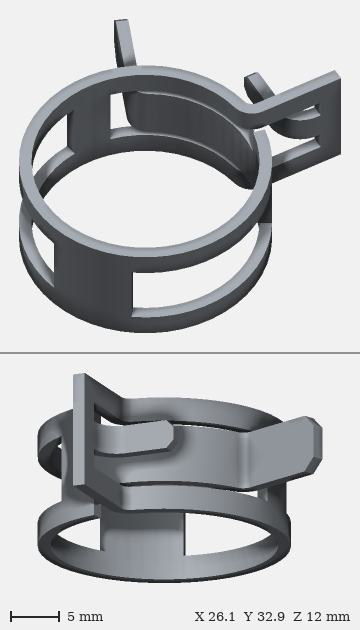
import cadquery as cq
import math

thickness = 1.3
outer_radius = 13.05
inner_radius = outer_radius - thickness
band_width = 12.0
mid_height = band_width / 2

window_height = 7.0
bridge_half_angle = 20.0
bridge_low_angle = 25.4
bridge_high_angle = 45.8
front_angle = -90.0

tongue_width = 6.0

ear_angle = 55.6
ear_end_radius = 23.1
bend_radius = 1.0
ear_bridge_length = 2.4
ear_tip_chamfer = 1.3

tab_width = 3.0
tab_bend_radius = 2.3
tab_straight_length = 5.4
tab_root_radius = ear_end_radius - ear_bridge_length
tab_bend_start_radius = 20.25
tab_tip_chamfer = 0.8

bend_centre_radius = outer_radius + bend_radius
bend_offset = thickness + bend_radius
bend_centre_angle = ear_angle + math.degrees(math.asin(bend_offset / bend_centre_radius))


def polar(radius, angle):
    """Point at a radius and an angle in degrees around the ring axis."""
    return (radius * math.cos(math.radians(angle)), radius * math.sin(math.radians(angle)))


def from_ear(along, inward):
    """Point along the right ear, offset inward from its outer face."""
    x_along, y_along = polar(along, ear_angle)
    x_in, y_in = polar(inward, ear_angle + 90)
    return (x_along + x_in, y_along + y_in)


def centred_slab(outline, width):
    """Extrude an XY outline to a width centred on the middle of the band."""
    return outline.extrude(width).translate((0, 0, mid_height - width / 2))


def strip_with_ear(start_angle, ear_end, width):
    """Ring arc running clockwise from start_angle into the bend and the right ear."""
    end_angle = bend_centre_angle
    middle_angle = (start_angle + end_angle) / 2
    centre_x, centre_y = polar(bend_centre_radius, bend_centre_angle)
    bend_end = math.sqrt(bend_centre_radius**2 - bend_offset**2)
    bend_middle_angle = (bend_centre_angle + 180 + ear_angle + 270) / 2

    def bend_middle(radius):
        x, y = polar(radius, bend_middle_angle)
        return (centre_x + x, centre_y + y)

    outline = (
        cq.Workplane("XY")
        .moveTo(*polar(outer_radius, start_angle))
        .threePointArc(polar(outer_radius, middle_angle), polar(outer_radius, end_angle))
        .threePointArc(bend_middle(bend_radius), from_ear(bend_end, thickness))
        .lineTo(*from_ear(ear_end, thickness))
        .lineTo(*from_ear(ear_end, 0))
        .lineTo(*from_ear(bend_end, 0))
        .threePointArc(bend_middle(bend_offset), polar(inner_radius, end_angle))
        .threePointArc(polar(inner_radius, middle_angle), polar(inner_radius, start_angle))
        .close()
    )
    return centred_slab(outline, width)


def chamfer_tip(strip, direction_angle, size):
    """Chamfer the two corners of the end face that looks along direction_angle."""
    direction = cq.Vector(*polar(1, direction_angle), 0)
    end_face = strip.faces(cq.selectors.DirectionMinMaxSelector(direction))
    return end_face.edges("<Z or >Z").chamfer(size)


def side_window():
    """Cutter for the right window, from the front bridge to the side bridge."""
    start_angle = front_angle + bridge_half_angle
    middle_angle = (start_angle + bridge_low_angle) / 2
    cut_inner = inner_radius - thickness
    cut_outer = outer_radius + thickness
    outline = (
        cq.Workplane("XY")
        .moveTo(*polar(cut_inner, start_angle))
        .lineTo(*polar(cut_outer, start_angle))
        .threePointArc(polar(cut_outer, middle_angle), polar(cut_outer, bridge_low_angle))
        .lineTo(*polar(cut_inner, bridge_low_angle))
        .threePointArc(polar(cut_inner, middle_angle), polar(cut_inner, start_angle))
        .close()
    )
    return centred_slab(outline, window_height)


def make_band():
    """Full-width band with its right ear and its three windows."""
    band = strip_with_ear(360 + bridge_high_angle, ear_end_radius, band_width)
    right_window = side_window()
    rear_window = strip_with_ear(180 - bridge_high_angle, tab_root_radius, window_height)
    return band.cut(right_window).cut(right_window.mirror("YZ")).cut(rear_window)


def make_tab():
    """Catch tab that leaves the ear bridge and bends square across the opening."""
    bend_centre_inward = thickness + tab_bend_radius
    tip_inward = bend_centre_inward + tab_straight_length
    outer_bend = tab_bend_radius + thickness
    inner_face = tab_bend_start_radius - tab_bend_radius
    outer_face = tab_bend_start_radius - outer_bend

    def bend_middle(radius):
        offset = radius * math.sqrt(0.5)
        return from_ear(tab_bend_start_radius - offset, bend_centre_inward - offset)

    outline = (
        cq.Workplane("XY")
        .moveTo(*from_ear(tab_root_radius, 0))
        .lineTo(*from_ear(tab_bend_start_radius, 0))
        .threePointArc(bend_middle(outer_bend), from_ear(outer_face, bend_centre_inward))
        .lineTo(*from_ear(outer_face, tip_inward))
        .lineTo(*from_ear(inner_face, tip_inward))
        .lineTo(*from_ear(inner_face, bend_centre_inward))
        .threePointArc(bend_middle(tab_bend_radius), from_ear(tab_bend_start_radius, thickness))
        .lineTo(*from_ear(tab_root_radius, thickness))
        .close()
    )
    return chamfer_tip(centred_slab(outline, tab_width), ear_angle + 90, tab_tip_chamfer)


def make_tongue():
    """Narrow tongue from the band end to the left ear, with a chamfered tip."""
    tongue = strip_with_ear(180 - bridge_high_angle, ear_end_radius, tongue_width)
    return chamfer_tip(tongue, ear_angle, ear_tip_chamfer).mirror("YZ")


result = make_band().union(make_tongue()).union(make_tab())